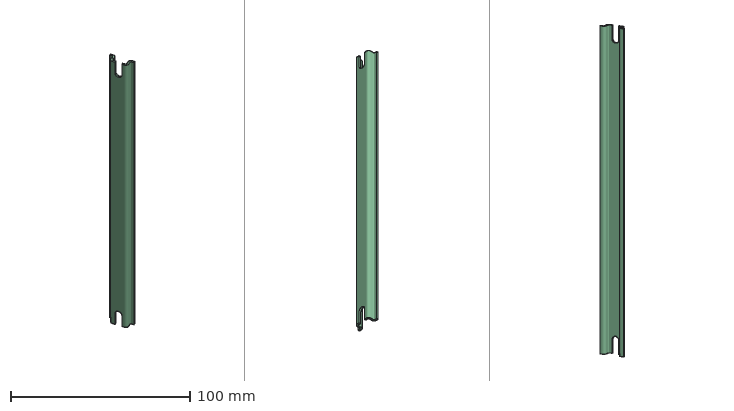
import cadquery as cq

length = 189.0
overall_width = 15.0
channel_width = 10.9
depth = 5.5
thickness = 1.2
bend_radius = 0.5
slot_width = 4.2
slot_depth = 10.0

outer_bend_radius = bend_radius + thickness
wall_outer = channel_width / 2
wall_inner = wall_outer - thickness
lip_tip = overall_width / 2
lip_front = depth - thickness


def hat_section():
    """Rail with its web on y = 0 and its lip faces at y = depth, centred along Z."""
    section = (
        cq.Workplane("XY")
        .polyline([
            (-lip_tip, depth),
            (-lip_tip, lip_front),
            (-wall_outer, lip_front),
            (-wall_outer, 0),
            (wall_outer, 0),
            (wall_outer, lip_front),
            (lip_tip, lip_front),
            (lip_tip, depth),
            (wall_inner, depth),
            (wall_inner, thickness),
            (-wall_inner, thickness),
            (-wall_inner, depth),
        ])
        .close()
        .extrude(length / 2, both=True)
    )
    return round_bends(section)


def bend_edges(x, y):
    """Selector for the mirrored pair of lengthwise edges at (-x, y) and (x, y)."""
    margin = thickness / 10
    half_box = length / 2 + margin
    selectors = [
        cq.selectors.BoxSelector(
            (side * x - margin, y - margin, -half_box),
            (side * x + margin, y + margin, half_box),
        )
        for side in (-1, 1)
    ]
    return selectors[0] + selectors[1]


def round_bends(rail):
    """Round the inside and outside corner of each bend about a common centre."""
    inside_corners = bend_edges(wall_inner, thickness) + bend_edges(wall_outer, lip_front)
    outside_corners = bend_edges(wall_outer, 0) + bend_edges(wall_inner, depth)
    rail = rail.edges("|Z").edges(inside_corners).fillet(bend_radius)
    return rail.edges("|Z").edges(outside_corners).fillet(outer_bend_radius)


def end_slot(end):
    """Cutter for the open, round-bottomed slot in the web at one end (+1 top, -1 bottom)."""
    half_slot = slot_width / 2
    end_z = end * length / 2
    arc_start_z = end * (length / 2 - slot_depth + half_slot)
    tip_z = end * (length / 2 - slot_depth)
    return (
        cq.Workplane("XZ")
        .moveTo(-half_slot, end_z)
        .lineTo(-half_slot, arc_start_z)
        .threePointArc((0, tip_z), (half_slot, arc_start_z))
        .lineTo(half_slot, end_z)
        .close()
        .extrude(-thickness)
    )


result = hat_section()
for rail_end in (-1, 1):
    result = result.cut(end_slot(rail_end))